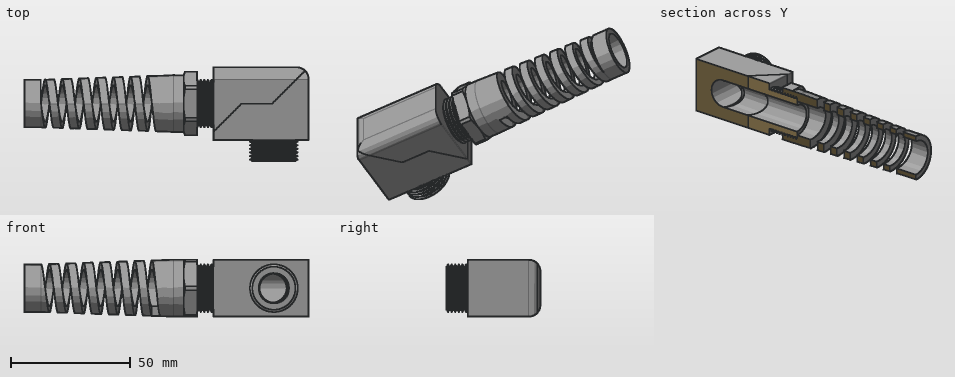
import cadquery as cq
import math


total_length = 118.87

block_length = 39.8
block_width = 30.48
block_height = 23.88
back_radius = 5.08
edge_radius = 0.25
block_left = total_length - block_length
block_middle = block_left + block_length / 2

joint_drop = 11.8
miter_x = total_length - block_width / 2

thread_diameter = 20.0
root_diameter = 18.0
thread_pitch = 1.5
ridge_base = 1.0
end_to_first_crest = 0.7

bore_diameter = 12.0
outlet_mouth_chamfer = 0.35
outlet_length = 8.89
outlet_x = total_length - 14.55
gap_to_nut = 6.8
inlet_length = 15.0

nut_end = block_left - gap_to_nut
hex_length = 5.7
hex_flats = block_height
hex_turn = 360 / 12
hex_turned_diameter = 26.7
hex_chamfer_length = 0.6
hex_start = nut_end - hex_length
collar_length = 4.4
collar_start = hex_start - collar_length
spring_bore = 15.24
tip_diameter = 20.0
tip_length = 6.9

slot_pitch = 7.14
slot_width = 3.56
slot_turns = 7
slot_end_x = 55.13
slot_start_x = slot_end_x - slot_turns * slot_pitch
slot_overcut = 0.8
slot_inner_radius = spring_bore / 2 - slot_overcut
slot_outer_radius = hex_flats / 2 + slot_overcut


def cylinder_x(x_start, length, diameter):
    """Cylinder along +X, turned so that its seam lies in the XZ plane."""
    disc = cq.Workplane("YZ").workplane(offset=x_start).circle(diameter / 2)
    return disc.extrude(length).rotate((0, 0, 0), (1, 0, 0), 90)


def threaded_stub(length):
    """Threaded stub along +Z whose free end lies at z = length."""
    crest_radius = thread_diameter / 2
    root_radius = root_diameter / 2
    half_base = ridge_base / 2
    ridge_count = math.floor((length - end_to_first_crest - half_base) / thread_pitch) + 1
    first_crest = length - end_to_first_crest - (ridge_count - 1) * thread_pitch

    profile = cq.Workplane("XZ").moveTo(0, 0).lineTo(root_radius, 0)
    for i in range(ridge_count):
        crest = first_crest + i * thread_pitch
        profile = profile.lineTo(root_radius, crest - half_base)
        profile = profile.lineTo(crest_radius, crest)
        profile = profile.lineTo(root_radius, crest + half_base)
    profile = profile.lineTo(root_radius, length).lineTo(0, length).close()
    return profile.revolve(360, (0, 0, 0), (0, 1, 0))


def inlet_stub():
    stub = threaded_stub(inlet_length)
    return stub.rotate((0, 0, 0), (0, 1, 0), -90).translate((block_left, 0, 0))


def outlet_stub():
    stub = threaded_stub(outlet_length)
    return stub.rotate((0, 0, 0), (1, 0, 0), 90).translate((outlet_x, -block_width / 2, 0))


def elbow_block():
    """Block whose back edges are well rounded and whose other edges are slightly broken."""
    plan = cq.Workplane("XY").center(block_middle, 0).rect(block_length, block_width)
    plan = plan.extrude(block_height / 2, both=True)
    plan = plan.edges("|Z and >X and >Y").fillet(back_radius)
    plan = plan.edges("|Z and >X and <Y").fillet(edge_radius)

    end = cq.Workplane("YZ").workplane(offset=block_left).rect(block_width, block_height)
    end = end.extrude(block_length)
    end = end.edges("|X and >Y").fillet(back_radius)
    end = end.edges("|X and <Y").fillet(edge_radius)

    side = cq.Workplane("XZ").center(block_middle, 0).rect(block_length, block_height)
    side = side.extrude(block_width / 2, both=True)
    side = side.edges("|Y").fillet(edge_radius)
    return plan.intersect(end).intersect(side)


def plan_region(points):
    return cq.Workplane("XY").polyline(points).close().extrude(block_height, both=True)


far = 2 * block_width
behind_joint = plan_region([
    (block_left, -joint_drop),
    (block_left + joint_drop, 0),
    (miter_x, 0),
    (miter_x + far, far),
    (block_left, far),
])
inlet_side = plan_region([
    (miter_x - far, -far),
    (miter_x + far, far),
    (miter_x - 2 * far, far),
    (miter_x - 2 * far, -far),
])


def elbow_passage():
    """Two bores that meet at the 45 degree miter plane."""
    bore_length = inlet_length + block_length
    inlet = cylinder_x(block_left - inlet_length, bore_length, bore_diameter).intersect(inlet_side)
    outlet = cq.Workplane("XZ").center(outlet_x, 0).circle(bore_diameter / 2)
    outlet = outlet.extrude(block_width, both=True).cut(inlet_side)
    return inlet, outlet


def outlet_mouth():
    """Cone that chamfers the open end of the outlet bore."""
    mouth = cq.Workplane("XZ").workplane(offset=block_width / 2 + outlet_length).center(outlet_x, 0)
    mouth = mouth.circle(bore_diameter / 2 + outlet_mouth_chamfer)
    return mouth.extrude(-outlet_mouth_chamfer, taper=45)


def slot_cutter():
    """Helical band, built along Z from its lowest line and then turned onto the X axis."""
    mean_radius = (slot_inner_radius + slot_outer_radius) / 2
    path = cq.Wire.makeHelix(slot_pitch, slot_turns * slot_pitch, mean_radius)
    section = cq.Workplane("XZ").center(mean_radius, 0)
    section = section.rect(slot_outer_radius - slot_inner_radius, slot_width)
    band = section.sweep(cq.Workplane(obj=path), isFrenet=True)
    return band.rotate((0, 0, 0), (0, 1, 0), 90).translate((slot_start_x, 0, 0))


def hexagon():
    """Hexagon with turned corners, chamfered towards the spring."""
    hexagon_prism = cq.Workplane("YZ").workplane(offset=hex_start)
    hexagon_prism = hexagon_prism.polygon(6, hex_flats, circumscribed=True).extrude(hex_length)
    hexagon_prism = hexagon_prism.rotate((0, 0, 0), (1, 0, 0), hex_turn)
    turned = cq.Workplane("XY").polyline([
        (hex_start, 0),
        (hex_start, hex_flats / 2),
        (hex_start + hex_chamfer_length, hex_turned_diameter / 2),
        (nut_end, hex_turned_diameter / 2),
        (nut_end, 0),
    ]).close().revolve(360, (0, 0, 0), (1, 0, 0))
    return hexagon_prism.intersect(turned)


def spring_nut():
    cone = cq.Workplane("XZ").polyline([
        (tip_length, 0),
        (tip_length, tip_diameter / 2),
        (collar_start, hex_flats / 2),
        (collar_start, 0),
    ]).close().revolve(360, (0, 0, 0), (1, 0, 0))
    bore = cylinder_x(0, nut_end, spring_bore)
    spring = cone.cut(bore).cut(slot_cutter())
    tip = cylinder_x(0, tip_length, tip_diameter).cut(bore)
    collar = cylinder_x(collar_start, collar_length, hex_flats)
    head = collar.union(hexagon()).cut(bore).cut(inlet_stub())
    return spring.union(tip).union(head)


inlet_passage, outlet_passage = elbow_passage()
block = elbow_block()

inlet_housing = block.intersect(behind_joint).union(inlet_stub()).cut(inlet_passage)
outlet_housing = block.cut(behind_joint).union(outlet_stub())
outlet_housing = outlet_housing.cut(inlet_passage).cut(outlet_passage).cut(outlet_mouth())
nut = spring_nut()

result = cq.Compound.makeCompound([inlet_housing.val(), outlet_housing.val(), nut.val()])